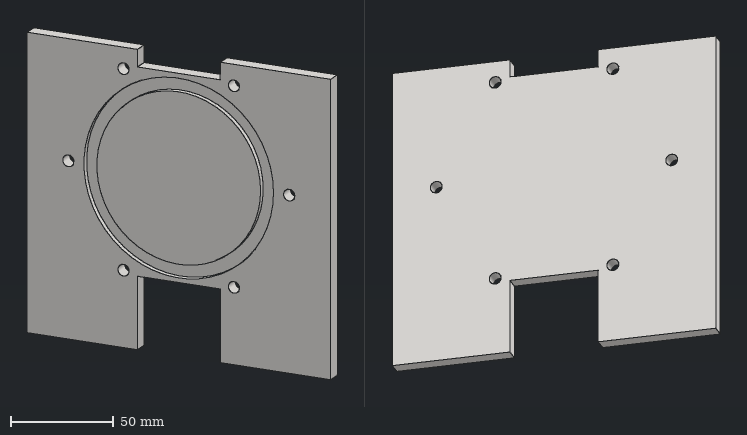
import cadquery as cq

width = 165.0
thickness = 8.0
height = 155.0

notch_width = 44.9
top_notch_depth = 9.0
bottom_notch_depth = 38.0

groove_outer_diameter = 103.0
groove_inner_diameter = 89.0
groove_depth = 3.0
center_z = (bottom_notch_depth - top_notch_depth) / 2

hole_count = 6
hole_diameter = 6.0
hole_circle_diameter = 120.0

front_y = -thickness / 2


def notch(depth, edge_direction):
    """Block removed from the top (+1) or bottom (-1) edge."""
    middle_z = edge_direction * (height - depth) / 2
    return cq.Workplane("XY").box(notch_width, thickness, depth).translate((0, 0, middle_z))


def front_plane():
    """Sketch plane on the -Y face; its normal points out of the plate."""
    return cq.Workplane("XZ", origin=(0, front_y, center_z))


def ring_groove():
    return (
        front_plane()
        .circle(groove_outer_diameter / 2)
        .circle(groove_inner_diameter / 2)
        .extrude(-groove_depth)
    )


def bolt_holes():
    return (
        front_plane()
        .polarArray(hole_circle_diameter / 2, 0, 360, hole_count)
        .circle(hole_diameter / 2)
        .extrude(-thickness)
    )


plate = cq.Workplane("XY").box(width, thickness, height)
plate = plate.cut(notch(top_notch_depth, 1))
plate = plate.cut(notch(bottom_notch_depth, -1))
plate = plate.cut(ring_groove())
result = plate.cut(bolt_holes())